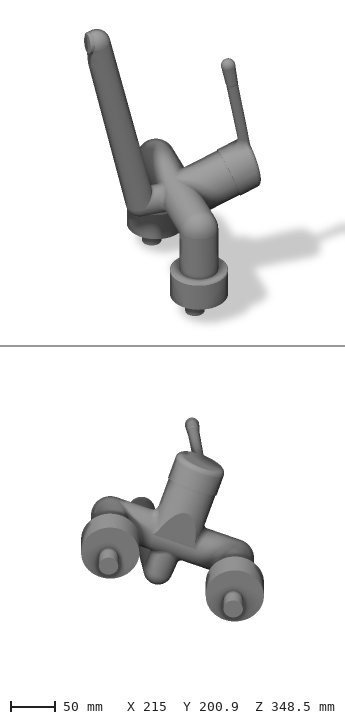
import cadquery as cq
import math


inlet_pitch = 150.0
pipe_radius = 21.5
pipe_height = 109.8
elbow_fillet = 7.0

collar_diameter = 65.0
collar_bottom = 22.0
collar_top = 55.5
collar_edge = 1.0
tail_radius = 10.8
tail_offset = -5.0

body_tilt = 20.0
body_radius = 28.0
body_axis_height = 102.5
body_length = 64.5
body_fillet = 7.0
body_floor_gap = 0.7

cap_radius = 29.0
cap_blank_length = 48.8
cap_edge = 6.0

lever_tilt = 10.0
lever_base_radius = 6.3
lever_neck_radius = 6.5
lever_grip_radius = 7.0
lever_tip_radius = 8.0
lever_tip_y = 60.0
lever_tip_z = 269.0
lever_length = 132.5
lever_grip_length = 24.5
lever_step_length = 1.7
lever_root_length = 33.0
lever_fillet = 9.8
lever_proud = 0.7

spout_tilt = 12.8
spout_height = 107.5
spout_bend_y = -44.3
spout_base_radius = 16.5
spout_end_radius = 15.5
spout_top = 348.5
spout_fillet = 5.2

outlet_tilt = 3.0
flat_y = -102.5
outlet_radius = 11.5
outlet_length = 4.2
outlet_edge = 0.7
hood_radius = 13.5
hood_edge = 1.7
hood_bottom = 6.0

block_size = 139.5

half_pitch = inlet_pitch / 2


def components(angle):
    """Sine and cosine of an angle in degrees."""
    return math.sin(math.radians(angle)), math.cos(math.radians(angle))


def frame(y, z, normal_y, normal_z):
    """Plane centred on X = 0, with X sideways and the given normal."""
    return cq.Plane(origin=(0, y, z), xDir=(1, 0, 0), normal=(0, normal_y, normal_z))


def rod(plane, radius, length):
    return cq.Workplane(plane).circle(radius).extrude(length)


def ball(radius, x, y, z):
    return cq.Workplane("XY").sphere(radius).translate((x, y, z))


def revolve_leaning(profile, tilt, y, z):
    """Turn an XZ profile about Z, lean the axis toward -Y and stand it at the given point."""
    turned = profile.revolve(360, (0, 0, 0), (0, 1, 0))
    return turned.rotate((0, 0, 0), (1, 0, 0), tilt).translate((0, y, z))


def make_pipes():
    """Cross pipe and both legs, with rounded outer corners and filleted inner corners."""
    pipes = cq.Workplane("YZ").center(0, pipe_height).circle(pipe_radius).extrude(half_pitch, both=True)
    leg_length = pipe_height - collar_top
    for x in (-half_pitch, half_pitch):
        leg = cq.Workplane("XY", origin=(x, 0, collar_top)).circle(pipe_radius).extrude(leg_length)
        pipes = pipes.union(leg).union(ball(pipe_radius, x, 0, pipe_height))
    return pipes.edges("%ELLIPSE").fillet(elbow_fillet)


def make_inlet(x):
    """Collar under one leg with its eccentric tail."""
    collar = (
        cq.Workplane("XY", origin=(x, 0, collar_bottom))
        .circle(collar_diameter / 2)
        .extrude(collar_top - collar_bottom)
        .faces(">Z")
        .edges()
        .chamfer(collar_edge)
    )
    tail = cq.Workplane("XY", origin=(x, tail_offset, 0)).circle(tail_radius).extrude(collar_bottom)
    return collar.union(tail)


def add_body(pipes):
    """Tilted cylinder with a flat underside, blended into the cross pipe."""
    rise, back = components(body_tilt)
    body = rod(frame(0, body_axis_height, back, rise), body_radius, body_length)
    floor_height = pipe_height - pipe_radius + body_floor_gap
    above_floor = (
        cq.Workplane("XY", origin=(0, 0, floor_height))
        .rect(2 * block_size, 2 * block_size)
        .extrude(block_size)
    )
    around_seam = cq.selectors.BoxSelector(
        (-cap_radius, -pipe_radius / 2, 0), (cap_radius, pipe_radius, spout_top)
    )
    joined = pipes.union(body.intersect(above_floor))
    return joined.edges(around_seam).edges("not %LINE").fillet(body_fillet)


def add_spout_stub(body):
    """Level stub in front of the cross pipe, blended into it."""
    stub = cq.Workplane("XZ").center(0, spout_height).circle(spout_base_radius).extrude(-spout_bend_y)
    around_seam = cq.selectors.BoxSelector(
        (-cap_radius, -pipe_radius, 0), (cap_radius, -pipe_radius / 2, spout_top)
    )
    return body.union(stub).edges(around_seam).edges("not %LINE").fillet(spout_fillet)


def make_cap_and_lever():
    """Cap with a slanted, rounded end face and the lever rising flush from its upper rim."""
    lean, upright = components(lever_tilt)
    foot_y = lever_tip_y + lever_length * lean
    foot_z = lever_tip_z - lever_length * upright

    face_distance = lever_base_radius - lever_proud
    end_face = frame(foot_y + face_distance * upright, foot_z + face_distance * lean, upright, lean)
    behind_face = rod(end_face, block_size, block_size)

    rise, back = components(body_tilt)
    joint = frame(body_length * back, body_axis_height + body_length * rise, back, rise)
    cap = rod(joint, cap_radius, cap_blank_length).cut(behind_face)
    cap = cap.faces(">Y").edges().fillet(cap_edge)

    root = rod(frame(foot_y, foot_z, -lean, upright), lever_base_radius, lever_root_length)
    around_seam = cq.selectors.BoxSelector(
        (-cap_radius, 0, foot_z + lever_root_length / 2), (cap_radius, block_size, spout_top)
    )
    cap = cap.union(root).edges(around_seam).edges("%BSPLINE").fillet(lever_fillet)
    cap = cap.cut(behind_face)

    grip_start = lever_length - lever_grip_length
    profile = (
        cq.Workplane("XZ")
        .moveTo(0, lever_root_length)
        .lineTo(lever_base_radius, lever_root_length)
        .lineTo(lever_neck_radius, grip_start - lever_step_length)
        .lineTo(lever_grip_radius, grip_start)
        .lineTo(lever_tip_radius, lever_length)
        .radiusArc((0, lever_length + lever_tip_radius), -lever_tip_radius)
        .close()
    )
    return cap.union(revolve_leaning(profile, lever_tilt, foot_y, foot_z))


def make_riser():
    """Rounded bend and tapered riser with a domed end, a flat and the hooded outlet."""
    lean, upright = components(spout_tilt)
    end_z = spout_top - spout_end_radius
    length = (end_z - spout_height) / upright
    end_y = spout_bend_y - length * lean

    profile = (
        cq.Workplane("XZ")
        .lineTo(spout_base_radius, 0)
        .lineTo(spout_end_radius, length)
        .lineTo(0, length)
        .close()
    )
    riser = revolve_leaning(profile, spout_tilt, spout_bend_y, spout_height)
    riser = riser.union(ball(spout_base_radius, 0, spout_bend_y, spout_height))
    riser = riser.union(ball(spout_end_radius, 0, end_y, end_z))

    out_z, out_y = components(outlet_tilt)
    riser = riser.cut(rod(frame(flat_y, end_z, -out_y, out_z), block_size / 2, block_size))

    seat = frame(flat_y + outlet_length * out_y, end_z, -out_y, out_z)
    outlet = rod(seat, outlet_radius, 2 * outlet_length).faces("<Y").chamfer(outlet_edge)
    hood = rod(seat, hood_radius, 2 * outlet_length).faces("<Y").chamfer(hood_edge)
    above_outlet = (
        cq.Workplane("XY", origin=(0, end_y, end_z + hood_bottom))
        .rect(block_size, block_size)
        .extrude(block_size)
    )
    return riser.union(outlet).union(hood.intersect(above_outlet))


result = add_spout_stub(add_body(make_pipes()))
result = result.union(make_cap_and_lever()).union(make_riser())
for inlet_x in (-half_pitch, half_pitch):
    result = result.union(make_inlet(inlet_x))